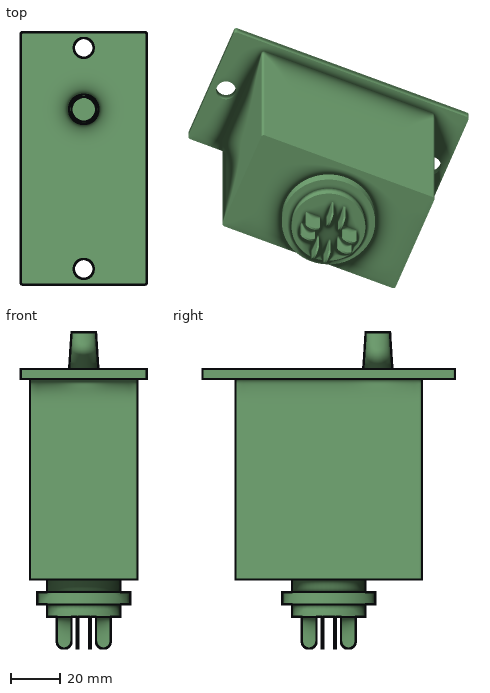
import cadquery as cq

total_height = 129.0
knob_height = 15.0
plate_thickness = 4.3
ring_height = 5.0
pin_length = 13.0

plate_width = 51.5
plate_length = 103.0
corner_radius = 1.0
hole_diameter = 8.0
hole_spacing = 90.0

housing_width = 44.0
housing_length = 76.0

knob_base_diameter = 12.0
knob_top_diameter = 10.0
knob_y = 20.0

socket_diameter = 30.0
flange_diameter = 38.0
pin_width = 6.0
pin_thickness = 0.8
pin_radial_offset = 8.0
pin_side_offset = 2.6

socket_bottom = pin_length
flange_bottom = socket_bottom + ring_height
housing_bottom = socket_bottom + 3 * ring_height
plate_top = total_height - knob_height
plate_bottom = plate_top - plate_thickness


def rounded_block(width, length, bottom, top):
    """Centred rectangular block with rounded vertical edges."""
    block = cq.Workplane("XY").workplane(offset=bottom).rect(width, length).extrude(top - bottom)
    return block.edges("|Z").fillet(corner_radius)


def disc(diameter, bottom, top):
    """Round disc on the Z axis."""
    return cq.Workplane("XY").workplane(offset=bottom).circle(diameter / 2).extrude(top - bottom)


def flat_pin(x, y):
    """Flat pin with its broad faces towards -Y and +Y and a semicircular tip."""
    tip_radius = pin_width / 2
    return (
        cq.Workplane("XZ", origin=(x, y, 0))
        .moveTo(-tip_radius, socket_bottom)
        .lineTo(-tip_radius, tip_radius)
        .threePointArc((0, 0), (tip_radius, tip_radius))
        .lineTo(tip_radius, socket_bottom)
        .close()
        .extrude(pin_thickness / 2, both=True)
    )


plate = rounded_block(plate_width, plate_length, plate_bottom, plate_top)
plate = (
    plate.faces(">Z").workplane()
    .rarray(1.3, hole_spacing, 1, 2)
    .hole(hole_diameter)
)

housing = rounded_block(housing_width, housing_length, housing_bottom, plate_bottom)

knob = (
    cq.Workplane("XY", origin=(0, knob_y, plate_top))
    .circle(knob_base_diameter / 2)
    .workplane(offset=knob_height)
    .circle(knob_top_diameter / 2)
    .loft(ruled=True)
)

socket = disc(socket_diameter, socket_bottom, housing_bottom)
flange = disc(flange_diameter, flange_bottom, flange_bottom + ring_height)

result = plate.union(housing).union(knob).union(socket).union(flange)

for quarter_turn in range(4):
    for side in (-1, 1):
        pin = flat_pin(pin_radial_offset, side * pin_side_offset)
        result = result.union(pin.rotate((0, 0, 0), (0, 0, 1), 90 * quarter_turn))